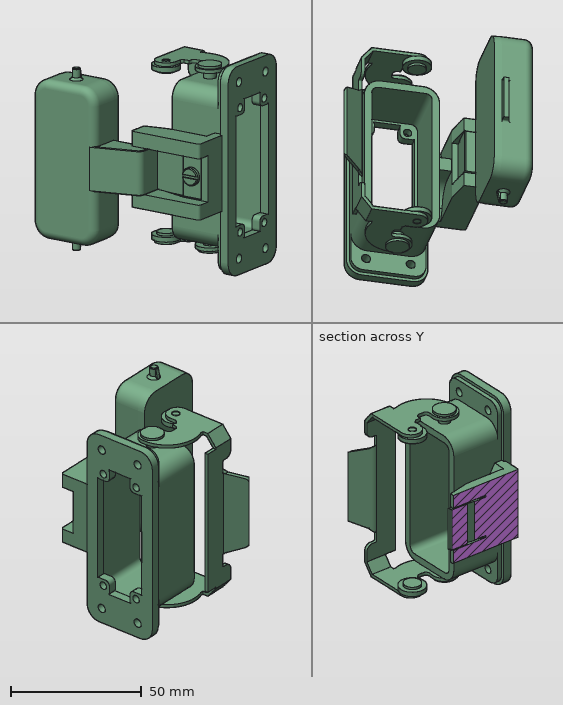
import cadquery as cq
import math


OVERLAP = 0.8
MARGIN = 0.1

FLANGE_Y, FLANGE_Z = 32.0, 83.0
FLANGE_THICK = 3.65
FLANGE_RADIUS = 6.0
STEP_INSET = 1.25
STEP_THICK = 1.9
HOUSING_Y = FLANGE_Y - 2 * STEP_INSET
HOUSING_Z = 63.25
HOUSING_DEPTH = 27.05
HOUSING_RADIUS = 6.5
CAVITY_Y, CAVITY_Z = 23.7, 57.3
CAVITY_RADIUS = 2.65
OPENING_Y, OPENING_Z = 21.6, 55.3
MOUNT_HOLE_Y, MOUNT_HOLE_Z = 8.8, 35.1
MOUNT_HOLE_DIAMETER = 3.5
LUG_Y, LUG_Z = 6.8, 6.7
LUG_RADIUS = 2.0
LUG_HOLE_Y, LUG_HOLE_Z = 8.05, 24.7
LUG_HOLE_DIAMETER = 3.15

SHEET = 1.4
LEVER_TOP = 36.1
LEVER_BACK = 19.9
LEVER_LEFT = -42.9
LEVER_ARM_RIGHT = -33.8
BACK_RIGHT = -28.9
BACK_HALF_Z = 30.6
BEND_Y, BEND_Z = 4.0, 4.9
SIDE_OVERLAP = 1.7
ARM_END_CENTRE_Y = -2.6
HOOK_Y = 1.4
HOOK_CHAMFER = 1.0
SLOT_LEFT, SLOT_RIGHT = -30.5, -25.2
SLOT_TOP = 4.1
SLOT_RADIUS = 1.7
ARCH_RADIUS = 13.7
ARCH_CENTRE_Y = 0.7
ARCH_END_X = -32.7
NOTCH_X, NOTCH_HALF_Z = -38.1, 23.6
NOTCH_RADIUS = 2.9
NOTCH_INNER_RADIUS = 0.5
LIP_TOP = 27.4
LIP_ANGLE = 50
LIP_TIP_X = -44.7
LIP_BASE_HALF_Z, LIP_ROOT_HALF_Z, LIP_TIP_HALF_Z = 19.25, 17.6, 14.85
LIP_ROOT_Y = 20.3
LIP_BEND_RADIUS = 2.2
LIP_RADIUS = 2.15
PIVOT_X = -19.8
PIVOT_RADIUS = 5.6
PIN_RADIUS = 2.5
CAP_RADIUS = 4.6
CAP_THICK = 1.0
ROLLER_X, ROLLER_Y = -38.0, -3.15
ROLLER_RADIUS = 5.6
ROLLER_THICK = 1.9
ROLLER_HUB_RADIUS = 3.6
ROLLER_HUB_THICK = 1.0
RIVET_HOLE_DIAMETER = 3.15
RIVET_HOLE_DEPTH = 0.3

FORK_HALF_Z = 15.1
FORK_INNER_Z = 9.2
FORK_LEFT, FORK_RIGHT = -34.8, -2.9
FORK_FRONT = -31.05
FORK_NOSE_Y = -22.4
FORK_SHOULDER_X = -25.1
BRACKET_BACK = -20.2
FORK_RADIUS = 1.1
LEG_LEFT = -7.05
STEM_NOSE_X = -24.1
STEM_HALF_Z = 2.7
STEM_FILLET_START_X = -17.6
STEM_FILLET = 8.05
WEB_FACE = -25.15
PAD_LEFT, PAD_RIGHT = -14.2, -5.9
PAD_FACE = -25.65
LEAF_HALF_Z = 8.6
LEAF_FRONT_Y, LEAF_REAR_Y = -23.4, -25.4
SCREW_X = -10.1
SCREW_RADIUS = 3.6
SCREW_FACE = -27.3
SLOT_WIDTH = 1.1
SLOT_DEPTH = 0.7
SCREW_CHAMFER = 0.4

COVER_LEFT, COVER_RIGHT = -74.6, -45.1
COVER_BACK, COVER_FACE = -24.4, -40.2
COVER_HALF_Z = 31.6
COVER_RADIUS = 6.8
COVER_EDGE_RADIUS = 3.15
RIM_Y = -27.4
RIM_DRAFT = 4
ARM_HALF_Z = 9.0
ARM_EDGE_CHAMFER = 0.3
ARM_END_X = -27.6
ARM_END_RADIUS = 2.65
ARM_END_Y = -34.3
ARM_RISER_X = -35.4
ARM_TOP = -27.9
ARM_OVERLAP = 2.7
ARM_BEAD = 0.6
TAB_TIP_X = -77.4
TAB_HALF_Z = 8.9
TAB_TIP_DEPTH, TAB_ROOT_DEPTH = 2.0, 2.9
TAB_ROOT_FILLET = 0.6
PEG_X, PEG_Y = -59.85, -31.6
PEG_RADIUS = 1.6
PEG_TOP = 36.2
PEG_BASE_RADIUS = 2.6
PEG_BASE_HEIGHT = 1.0
PEG_CHAMFER = 0.3
GUSSET_WIDTH = 1.6
GUSSET_BASE_Y = -29.1


def box(x0, x1, y0, y1, z0, z1):
    """Box between two opposite corners."""
    return cq.Workplane("XY").box(x1 - x0, y1 - y0, z1 - z0, centered=False).translate((x0, y0, z0))


def plate(x0, x1, size_y, size_z, radius):
    """Rounded rectangle in the YZ plane, extruded from x0 to x1."""
    slab = cq.Workplane("YZ").workplane(offset=x0).rect(size_y, size_z).extrude(x1 - x0)
    return slab.edges("|X").fillet(radius)


def prism(points, z0, z1):
    """Polygon in the XY plane, extruded from z0 to z1."""
    return cq.Workplane("XY").workplane(offset=z0).polyline(points).close().extrude(z1 - z0)


def disc(x, y, radius, z0, z1):
    """Cylinder along Z."""
    return cq.Workplane("XY").workplane(offset=z0).center(x, y).circle(radius).extrude(z1 - z0)


def both_ends(body):
    """The body together with its mirror image in the plane z = 0."""
    return body.union(body.mirror("XY"))


def corners(y, z):
    """The four points at plus or minus y and plus or minus z."""
    return [(sy * y, sz * z) for sy in (-1, 1) for sz in (-1, 1)]


def make_housing():
    step_left = -FLANGE_THICK - STEP_THICK
    body = plate(-FLANGE_THICK, 0, FLANGE_Y, FLANGE_Z, FLANGE_RADIUS)
    body = body.union(
        plate(
            step_left,
            -FLANGE_THICK,
            FLANGE_Y - 2 * STEP_INSET,
            FLANGE_Z - 2 * STEP_INSET,
            FLANGE_RADIUS - STEP_INSET,
        )
    )
    body = body.union(plate(-HOUSING_DEPTH, step_left, HOUSING_Y, HOUSING_Z, HOUSING_RADIUS))
    cavity = plate(-HOUSING_DEPTH, -FLANGE_THICK, CAVITY_Y, CAVITY_Z, CAVITY_RADIUS)
    opening = plate(-FLANGE_THICK, 0, OPENING_Y, OPENING_Z, CAVITY_RADIUS)
    for y, z in corners((CAVITY_Y - LUG_Y) / 2, (CAVITY_Z - LUG_Z) / 2):
        lug = plate(-FLANGE_THICK, 0, LUG_Y, LUG_Z, LUG_RADIUS).translate((0, y, z))
        opening = opening.cut(lug)
    body = body.cut(cavity).cut(opening)
    for points, diameter in (
        (corners(MOUNT_HOLE_Y, MOUNT_HOLE_Z), MOUNT_HOLE_DIAMETER),
        (corners(LUG_HOLE_Y, LUG_HOLE_Z), LUG_HOLE_DIAMETER),
    ):
        holes = cq.Workplane("YZ").pushPoints(points).circle(diameter / 2).extrude(-step_left)
        body = body.cut(holes.translate((step_left, 0, 0)))
    return body


def make_lever_back():
    """Back plate of the lever with its two bends and the notch for the lip."""
    side_y = LEVER_BACK - BEND_Y
    bend_z = LEVER_TOP - BEND_Z
    slope = math.atan2(BEND_Y, BEND_Z)
    side_shift = SHEET * math.tan((math.pi / 2 - slope) / 2)
    back_shift = SHEET * math.tan(slope / 2)
    half = [
        (side_y - SIDE_OVERLAP, LEVER_TOP),
        (side_y, LEVER_TOP),
        (LEVER_BACK, bend_z),
    ]
    inner_half = [
        (LEVER_BACK - SHEET, bend_z - back_shift),
        (side_y - side_shift, LEVER_TOP - SHEET),
        (side_y - SIDE_OVERLAP, LEVER_TOP - SHEET),
    ]
    outline = half + [(y, -z) for y, z in reversed(half)]
    outline += [(y, -z) for y, z in reversed(inner_half)] + inner_half
    strip = cq.Workplane("YZ").workplane(offset=LEVER_LEFT).polyline(outline).close()
    strip = strip.extrude(LEVER_ARM_RIGHT - LEVER_LEFT)
    back_inside = LEVER_BACK - SHEET
    strip = strip.union(
        box(LEVER_ARM_RIGHT, BACK_RIGHT, back_inside, LEVER_BACK, -BACK_HALF_Z, BACK_HALF_Z)
    )
    notch = box(LEVER_LEFT, NOTCH_X, back_inside, LEVER_BACK, -NOTCH_HALF_Z, NOTCH_HALF_Z)
    notch = notch.edges("|Y and >X").fillet(NOTCH_INNER_RADIUS)
    strip = strip.cut(notch)
    mouth = cq.selectors.BoxSelector(
        (LEVER_LEFT - MARGIN, back_inside - MARGIN, -NOTCH_HALF_Z - MARGIN),
        (LEVER_LEFT + MARGIN, LEVER_BACK + MARGIN, NOTCH_HALF_Z + MARGIN),
    )
    return strip.edges("|Y").edges(mouth).fillet(NOTCH_RADIUS)


def make_lip():
    """Finger lip bent outwards from the bottom of the notch."""
    angle = math.radians(LIP_ANGLE)
    base_y = LEVER_BACK - SHEET
    tip_low_x = LIP_TIP_X - SHEET * math.sin(angle)
    tip_low_y = LIP_TOP - SHEET * math.cos(angle)
    bend_x = tip_low_x + (tip_low_y - base_y) / math.tan(angle)
    overlap_x = (NOTCH_X + BACK_RIGHT) / 2
    profile = [
        (LIP_TIP_X, LIP_TOP),
        (LIP_TIP_X + (LIP_TOP - LEVER_BACK) / math.tan(angle), LEVER_BACK),
        (overlap_x, LEVER_BACK),
        (overlap_x, base_y),
        (bend_x, base_y),
        (tip_low_x, tip_low_y),
    ]
    lip = prism(profile, -LIP_BASE_HALF_Z, LIP_BASE_HALF_Z)
    lip = lip.edges(cq.NearestToPointSelector((bend_x, base_y, 0))).fillet(LIP_BEND_RADIUS)
    half = [
        (base_y, LIP_BASE_HALF_Z),
        (LIP_ROOT_Y, LIP_ROOT_HALF_Z),
        (LIP_TOP, LIP_TIP_HALF_Z),
    ]
    outline = half + [(y, -z) for y, z in reversed(half)]
    shape = cq.Workplane("YZ").polyline(outline).close().extrude(tip_low_x)
    shape = shape.edges("|X and >Y").fillet(LIP_RADIUS)
    return lip.intersect(shape)


def make_lever_side():
    """Upper side plate with its roller, pivot pin and cap."""
    side_y = LEVER_BACK - BEND_Y
    roller_end_x = (LEVER_LEFT + LEVER_ARM_RIGHT) / 2
    end_radius = (LEVER_ARM_RIGHT - LEVER_LEFT) / 2
    under = LEVER_TOP - SHEET
    arch_x = PIVOT_X + PIVOT_RADIUS - ARCH_RADIUS
    diagonal = ARCH_RADIUS * math.sqrt(0.5)
    arch_end_y = ARCH_CENTRE_Y + math.sqrt(ARCH_RADIUS**2 - (ARCH_END_X - arch_x) ** 2)
    slot_arc = SLOT_RADIUS * (1 - math.sqrt(0.5))
    side = (
        cq.Workplane("XY")
        .workplane(offset=under)
        .moveTo(LEVER_LEFT, side_y)
        .lineTo(LEVER_LEFT, ARM_END_CENTRE_Y)
        .threePointArc(
            (roller_end_x, ARM_END_CENTRE_Y - end_radius), (LEVER_ARM_RIGHT, ARM_END_CENTRE_Y)
        )
        .lineTo(LEVER_ARM_RIGHT, HOOK_Y - HOOK_CHAMFER)
        .lineTo(LEVER_ARM_RIGHT + HOOK_CHAMFER, HOOK_Y)
        .lineTo(SLOT_LEFT, HOOK_Y)
        .lineTo(SLOT_LEFT, SLOT_TOP - SLOT_RADIUS)
        .threePointArc(
            (SLOT_LEFT + slot_arc, SLOT_TOP - slot_arc), (SLOT_LEFT + SLOT_RADIUS, SLOT_TOP)
        )
        .lineTo(SLOT_RIGHT - SLOT_RADIUS, SLOT_TOP)
        .threePointArc(
            (SLOT_RIGHT - slot_arc, SLOT_TOP - slot_arc), (SLOT_RIGHT, SLOT_TOP - SLOT_RADIUS)
        )
        .lineTo(PIVOT_X - PIVOT_RADIUS, 0)
        .threePointArc((PIVOT_X, -PIVOT_RADIUS), (PIVOT_X + PIVOT_RADIUS, 0))
        .lineTo(arch_x + ARCH_RADIUS, ARCH_CENTRE_Y)
        .threePointArc((arch_x + diagonal, ARCH_CENTRE_Y + diagonal), (ARCH_END_X, arch_end_y))
        .lineTo(LEVER_ARM_RIGHT, arch_end_y)
        .lineTo(LEVER_ARM_RIGHT, side_y)
        .close()
        .extrude(SHEET)
    )
    side = side.union(disc(PIVOT_X, 0, PIN_RADIUS, HOUSING_Z / 2 - OVERLAP, under))
    side = side.union(disc(PIVOT_X, 0, CAP_RADIUS, LEVER_TOP, LEVER_TOP + CAP_THICK))
    roller_under = under - ROLLER_THICK
    side = side.union(disc(ROLLER_X, ROLLER_Y, ROLLER_RADIUS, roller_under, under))
    side = side.union(
        disc(ROLLER_X, ROLLER_Y, ROLLER_HUB_RADIUS, roller_under - ROLLER_HUB_THICK, roller_under)
    )
    rivet = disc(
        ROLLER_X, ROLLER_Y, RIVET_HOLE_DIAMETER / 2, LEVER_TOP - RIVET_HOLE_DEPTH, LEVER_TOP
    )
    return side.cut(rivet)


def make_bracket():
    """Fork bracket that carries the cover, with its stem on the housing."""
    fork = [
        (FORK_LEFT, FORK_FRONT),
        (FORK_RIGHT, FORK_FRONT),
        (FORK_RIGHT, BRACKET_BACK),
        (FORK_SHOULDER_X, BRACKET_BACK),
        (FORK_LEFT, FORK_NOSE_Y),
    ]
    arm = prism(fork, FORK_INNER_Z, FORK_HALF_Z).edges("|Z and <Y").fillet(FORK_RADIUS)
    body = both_ends(arm)
    web = [
        (FORK_SHOULDER_X, FORK_NOSE_Y),
        (PAD_LEFT, WEB_FACE),
        (FORK_RIGHT, WEB_FACE),
        (FORK_RIGHT, BRACKET_BACK),
        (FORK_SHOULDER_X, BRACKET_BACK),
    ]
    body = body.union(prism(web, -FORK_INNER_Z, FORK_INNER_Z))
    fillet_x = STEM_FILLET_START_X + STEM_FILLET
    fillet_z = STEM_HALF_Z + STEM_FILLET
    mid = STEM_FILLET * math.sqrt(0.5)
    stem = (
        cq.Workplane("XZ")
        .workplane(offset=HOUSING_Y / 2)
        .moveTo(STEM_NOSE_X, 0)
        .lineTo(STEM_NOSE_X, STEM_HALF_Z)
        .lineTo(STEM_FILLET_START_X, STEM_HALF_Z)
        .threePointArc((STEM_FILLET_START_X + mid, fillet_z - mid), (fillet_x, fillet_z))
        .lineTo(LEG_LEFT, FORK_HALF_Z)
        .lineTo(FORK_RIGHT, FORK_HALF_Z)
        .lineTo(FORK_RIGHT, 0)
        .close()
        .extrude(-BRACKET_BACK - HOUSING_Y / 2)
    )
    body = body.union(both_ends(stem))
    leaf_left = ARM_END_X - OVERLAP
    leaf = [
        (leaf_left, FORK_NOSE_Y),
        (leaf_left, LEAF_FRONT_Y),
        (PAD_LEFT, LEAF_REAR_Y),
        (PAD_LEFT, PAD_FACE),
        (PAD_RIGHT, PAD_FACE),
        (PAD_RIGHT, FORK_NOSE_Y),
    ]
    body = body.union(prism(leaf, -LEAF_HALF_Z, LEAF_HALF_Z))
    screw = cq.Workplane("XZ").workplane(offset=-PAD_FACE).center(SCREW_X, 0)
    screw = screw.circle(SCREW_RADIUS).extrude(PAD_FACE - SCREW_FACE)
    screw = screw.faces("<Y").chamfer(SCREW_CHAMFER)
    slot = box(
        SCREW_X - SCREW_RADIUS,
        SCREW_X + SCREW_RADIUS,
        SCREW_FACE,
        SCREW_FACE + SLOT_DEPTH,
        -SLOT_WIDTH / 2,
        SLOT_WIDTH / 2,
    )
    return body.union(screw.cut(slot))


def make_cover_arm():
    """Cranked arm from the cover to the bracket."""
    root_x = COVER_RIGHT - ARM_OVERLAP
    outline = [
        (root_x, ARM_TOP),
        (root_x, COVER_FACE),
        (ARM_END_X, ARM_END_Y),
        (ARM_END_X, FORK_NOSE_Y),
        (ARM_RISER_X - ARM_BEAD, FORK_NOSE_Y),
        (ARM_RISER_X, FORK_NOSE_Y - ARM_BEAD),
        (ARM_RISER_X, ARM_TOP),
    ]
    arm = prism(outline, -ARM_HALF_Z, ARM_HALF_Z)
    corner = cq.NearestToPointSelector((ARM_END_X, ARM_END_Y, 0))
    arm = arm.edges(corner).fillet(ARM_END_RADIUS)
    inward = cq.Vector(COVER_FACE - ARM_END_Y, ARM_END_X - root_x, 0)
    slope = arm.faces(cq.selectors.DirectionMinMaxSelector(inward, False))
    return slope.edges("not |Z").chamfer(ARM_EDGE_CHAMFER)


def make_peg():
    """Locking peg on the upper end of the cover, with a cone base and a gusset."""
    peg = disc(PEG_X, PEG_Y, PEG_RADIUS, COVER_HALF_Z - OVERLAP, PEG_TOP).faces(">Z").chamfer(PEG_CHAMFER)
    cone = cq.Solid.makeCone(
        PEG_BASE_RADIUS,
        PEG_RADIUS,
        PEG_BASE_HEIGHT,
        pnt=cq.Vector(PEG_X, PEG_Y, COVER_HALF_Z),
        dir=cq.Vector(0, 0, 1),
    )
    gusset = (
        cq.Workplane("YZ")
        .workplane(offset=PEG_X - GUSSET_WIDTH / 2)
        .polyline(
            [
                (PEG_Y, COVER_HALF_Z),
                (GUSSET_BASE_Y, COVER_HALF_Z),
                (PEG_Y + PEG_RADIUS, PEG_TOP - PEG_CHAMFER),
                (PEG_Y, PEG_TOP - PEG_CHAMFER),
            ]
        )
        .close()
        .extrude(GUSSET_WIDTH)
    )
    return peg.union(cq.Workplane(cone)).union(gusset)


def make_cover():
    body = box(COVER_LEFT, COVER_RIGHT, COVER_FACE, RIM_Y, -COVER_HALF_Z, COVER_HALF_Z)
    body = body.edges("|Y").fillet(COVER_RADIUS)
    body = body.faces("<Y").edges().fillet(COVER_EDGE_RADIUS)
    tab_profile = [
        (COVER_LEFT + OVERLAP, RIM_Y),
        (TAB_TIP_X, RIM_Y),
        (TAB_TIP_X, RIM_Y - TAB_TIP_DEPTH),
        (COVER_LEFT + OVERLAP, RIM_Y - TAB_ROOT_DEPTH),
    ]
    tab = prism(tab_profile, -TAB_HALF_Z, TAB_HALF_Z)
    body = body.union(tab)
    root = cq.selectors.BoxSelector(
        (COVER_LEFT - MARGIN, RIM_Y - TAB_ROOT_DEPTH - MARGIN, -TAB_HALF_Z - MARGIN),
        (COVER_LEFT + MARGIN, RIM_Y - MARGIN, TAB_HALF_Z + MARGIN),
    )
    body = body.edges(root).fillet(TAB_ROOT_FILLET)
    outline = cq.Sketch().rect(2 * COVER_HALF_Z, COVER_RIGHT - COVER_LEFT)
    outline = outline.vertices().fillet(COVER_RADIUS)
    rim = cq.Workplane("ZX", origin=(0, RIM_Y, 0)).center(0, (COVER_LEFT + COVER_RIGHT) / 2)
    rim = rim.placeSketch(outline).extrude(COVER_BACK - RIM_Y, taper=RIM_DRAFT)
    body = body.union(rim)
    return body.union(both_ends(make_peg())).union(make_cover_arm())


result = (
    make_housing()
    .union(make_lever_back())
    .union(make_lip())
    .union(both_ends(make_lever_side()))
    .union(make_bracket())
    .union(make_cover())
)